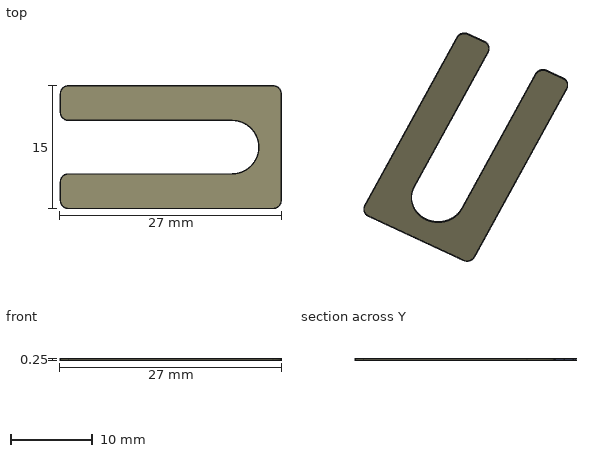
import cadquery as cq

length = 27.0
width = 15.0
thickness = 0.25
corner_radius = 1.0

slot_width = 6.5
slot_depth = 24.25

slot_radius = slot_width / 2
slot_straight = slot_depth - slot_radius
half_width = width / 2

blank = (
    cq.Workplane("XY")
    .moveTo(0, -half_width)
    .lineTo(length, -half_width)
    .lineTo(length, half_width)
    .lineTo(0, half_width)
    .lineTo(0, slot_radius)
    .lineTo(slot_straight, slot_radius)
    .threePointArc((slot_depth, 0), (slot_straight, -slot_radius))
    .lineTo(0, -slot_radius)
    .close()
    .extrude(thickness)
)

result = blank.faces("<X or >X").edges("|Z").fillet(corner_radius)